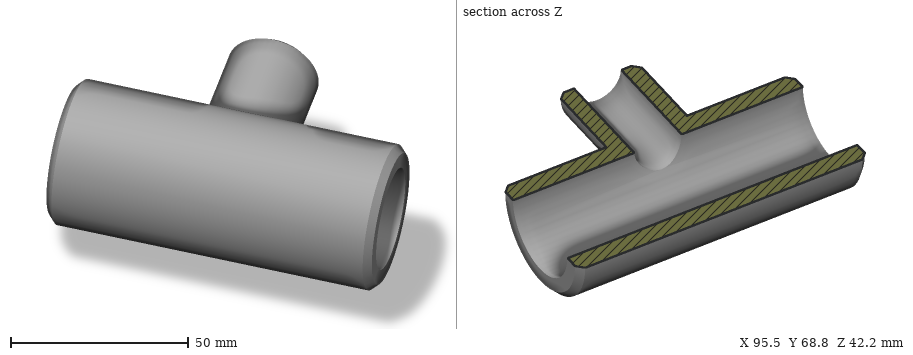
import cadquery as cq

run_length = 95.5
run_diameter = 42.16
run_wall = 6.35
run_bore = run_diameter - 2 * run_wall

branch_reach = run_length / 2
branch_diameter = 26.67
branch_wall = 5.56
branch_bore = branch_diameter - 2 * branch_wall

bevel = 2.1


def run_cylinder(diameter):
    """Solid cylinder along X, centred on the origin."""
    return cq.Workplane("YZ").circle(diameter / 2).extrude(run_length / 2, both=True)


def branch_cylinder(diameter):
    """Solid cylinder from the run axis out to the branch end along +Y."""
    return cq.Workplane("XZ").circle(diameter / 2).extrude(-branch_reach)


run_body = run_cylinder(run_diameter).faces("<X or >X").chamfer(bevel)
branch_body = branch_cylinder(branch_diameter).faces(">Y").chamfer(bevel)

body = run_body.union(branch_body)
result = body.cut(run_cylinder(run_bore)).cut(branch_cylinder(branch_bore))